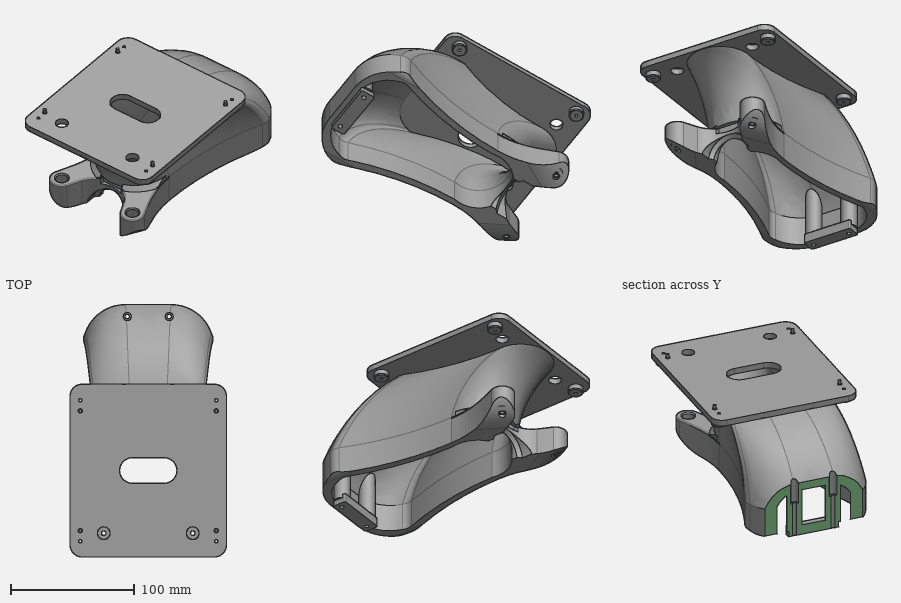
import cadquery as cq
import math


base_height = 25.0
plate_thickness = 5.1
plate_top = 82.7
plate_bottom = plate_top - plate_thickness

plate_width = 127
plate_length = 140.2
plate_corner_radius = 10.0
cable_slot_length = 46.3
cable_slot_width = 20.5
cable_slot_y = 70.2
access_hole_diameter = 10.5

fitting_x = 55.0
standoff_ys = (12.9, 127.1)
standoff_diameter = 12.0
standoff_height = 5.0
standoff_chamfer = 0.8
standoff_hole_diameter = 2.5
pin_ys = (21.5, 118.5)
pin_diameter = 2.5
pin_height = 3.5
pin_collar_diameter = 3.5
pin_collar_height = 0.5

hull_front = 38.0
hull_back = 204.7
back_flat_half = 18.5
back_corner_x = 51.0
back_corner_y = 182.0
corner_bulge_x = 52.5
corner_bulge_y = 177.7
side_start_x = 51.5
side_start_y = 172.5
side_middle_y = 118.7
waist_x = 32.0
waist_y = 73.7
side_run = side_start_y - waist_y
side_spread = side_start_x - waist_x
side_radius = (side_run ** 2 + side_spread ** 2) / (2 * side_spread)
side_middle_x = waist_x + side_radius - math.sqrt(side_radius ** 2 - (side_middle_y - waist_y) ** 2)
wall = 5.0

hull_front_middle = (29.9, 51.2)
hull_front_top = (0.6, plate_bottom)
hull_back_middle = (187.1, 51.2)
hull_back_top = (140.2, plate_bottom)
hull_steps = 4

leg_x = 36.0
leg_y = 19.5
leg_radius = 10.0
leg_outer_angle = 23
leg_tip_angle = -60
leg_inner_angle = 209
crotch_x = 21.5
crotch_y = 27.0
crotch_apex_y = 40.1
leg_edge_round = 1.0
leg_bore_diameter = 10.0
leg_bore_mouth = 12.0
leg_bore_floor = 8.2
leg_recess_diameter = 6.0
leg_recess_top = 5.1
screw_hole_diameter = 3.5
skirt_size = 4
skirt_gap = 22.1
skirt_reach = 69.5

leg_round_angle = -30
leg_round_start = 7.2
leg_round_radius = 28.7
corner_round_start = 46.7
corner_round_radius = 9.2

arch_outer_radius = 19.5
arch_inner_radius = 16.4
arch_axis_z = -2.7
arch_taper_start = 40.1
arch_taper_length = 3.0
notch_width = 20.9
notch_floor = 19.9
notch_top = 26.5
notch_back = 41.8

foot_width = 44.2
foot_front = 188.0
foot_back = 200.2
foot_drop = 5.0
foot_top = 4
foot_corner_radius = 1.5
foot_chamfer = 1.0
back_screw_x = 17.0
back_screw_y = 194.9
back_screw_bore_diameter = 6.5
back_screw_boss_diameter = 13.5
back_screw_seat = base_height


def cylinder(x, y, bottom, top, diameter):
    """Upright cylinder between two heights."""
    return cq.Workplane("XY", origin=(x, y, bottom)).circle(diameter / 2).extrude(top - bottom)


def arc_y(start, middle, end, z):
    """Y at height z on the arc through three (y, z) points that bulges toward +Y."""
    a, b = middle[0] - start[0], middle[1] - start[1]
    c, d = end[0] - start[0], end[1] - start[1]
    cross = 2 * (a * d - b * c)
    first, second = a * a + b * b, c * c + d * d
    center_y = (d * first - b * second) / cross
    center_z = (a * second - c * first) / cross
    radius = math.hypot(center_y, center_z)
    height = z - start[1] - center_z
    return start[0] + center_y + math.sqrt(radius ** 2 - height ** 2)


def mirrored(point):
    """Same point on the -X side."""
    return -point[0], point[1]


def back_arc_middle():
    """Point halfway along the rounded back that leaves the flat tangentially."""
    run = back_corner_x - back_flat_half
    drop = hull_back - back_corner_y
    radius = (run ** 2 + drop ** 2) / (2 * drop)
    half_angle = math.asin(run / radius) / 2
    x = back_flat_half + radius * math.sin(half_angle)
    y = hull_back - radius * (1 - math.cos(half_angle))
    return x, y


side_points = (
    (back_flat_half, hull_back),
    back_arc_middle(),
    (back_corner_x, back_corner_y),
    (corner_bulge_x, corner_bulge_y),
    (side_start_x, side_start_y),
    (side_middle_x, side_middle_y),
    (waist_x, waist_y),
)


def hull_section(z, inset=0.0):
    """Closed hull outline at height z, drawn inward by inset."""
    front = arc_y((hull_front, base_height), hull_front_middle, hull_front_top, z)
    back = arc_y((hull_back, base_height), hull_back_middle, hull_back_top, z)
    scale = (back - front) / (hull_back - hull_front)
    shrink_x = 1 - inset / (scale * waist_x)
    shrink_y = 1 - 2 * inset / (back - front)
    middle_y = (front + back) / 2

    def place(point):
        x, y = point
        y_full = front + (y - hull_front) * scale
        return x * scale * shrink_x, middle_y + (y_full - middle_y) * shrink_y

    back_end, back_middle, corner, bulge, side_start, side_middle, waist = map(place, side_points)
    return (
        cq.Workplane("XY", origin=(0, 0, z))
        .moveTo(*mirrored(back_end))
        .lineTo(*back_end)
        .threePointArc(back_middle, corner)
        .threePointArc(bulge, side_start)
        .threePointArc(side_middle, waist)
        .threePointArc(place((0, hull_front)), mirrored(waist))
        .threePointArc(mirrored(side_middle), mirrored(side_start))
        .threePointArc(mirrored(bulge), mirrored(corner))
        .threePointArc(mirrored(back_middle), mirrored(back_end))
        .close()
    )


def lofted_hull(inset=0.0):
    """Leaning hull from the top of the base to the plate."""
    step = (plate_bottom - base_height) / hull_steps
    wires = [hull_section(base_height + i * step, inset).val() for i in range(hull_steps + 1)]
    return cq.Workplane("XY").newObject([cq.Solid.makeLoft(wires)])


def leg_point(angle):
    """Point on the round end of the +X leg."""
    turn = math.radians(angle)
    return leg_x + leg_radius * math.cos(turn), leg_y + leg_radius * math.sin(turn)


def base_block():
    """Solid base: hull back and sides, flaring into two round-ended legs."""
    back_end, back_middle, corner, bulge, side_start, side_middle, waist = side_points
    outer = leg_point(leg_outer_angle)
    tip = leg_point(leg_tip_angle)
    inner = leg_point(leg_inner_angle)
    crotch = (crotch_x, crotch_y)
    turn = math.radians(leg_outer_angle)
    leg_direction = (math.sin(turn), -math.cos(turn))
    return_direction = (math.sin(turn), math.cos(turn))
    return (
        cq.Workplane("XY")
        .moveTo(*mirrored(back_end))
        .lineTo(*back_end)
        .threePointArc(back_middle, corner)
        .threePointArc(bulge, side_start)
        .threePointArc(side_middle, waist)
        .spline([outer], tangents=[(0, -1), leg_direction], includeCurrent=True)
        .threePointArc(tip, inner)
        .lineTo(*crotch)
        .threePointArc((0, crotch_apex_y), mirrored(crotch))
        .lineTo(*mirrored(inner))
        .threePointArc(mirrored(tip), mirrored(outer))
        .spline([mirrored(waist)], tangents=[return_direction, (0, 1)], includeCurrent=True)
        .threePointArc(mirrored(side_middle), mirrored(side_start))
        .threePointArc(mirrored(bulge), mirrored(corner))
        .threePointArc(mirrored(back_middle), mirrored(back_end))
        .close()
        .extrude(base_height)
    )


def underside_round(angle, start, radius):
    """Cutter that rounds the underside beyond a distance from the origin, in a given direction."""
    end = start + radius
    cutter = (
        cq.Workplane("XZ")
        .moveTo(start, 0)
        .radiusArc((end, radius), -radius)
        .lineTo(end + radius, radius)
        .lineTo(end + radius, 0)
        .close()
        .extrude(hull_back, both=True)
    )
    return cutter.rotate((0, 0, 0), (0, 0, 1), angle)


def both_sides(shape):
    """Shape joined with its mirror image across the middle of the part."""
    return shape.union(shape.mirror("YZ"))


def front_space(reach):
    """Block that covers everything in front of a given Y."""
    return cq.Workplane("XY").box(plate_width, 2 * reach, 4 * base_height)


block = base_block()
legs = block.intersect(front_space(waist_y))
legs = legs.faces(">Z").edges("not >Y").fillet(leg_edge_round)
base = block.cut(front_space(waist_y)).union(legs)
base = base.cut(both_sides(underside_round(leg_round_angle, leg_round_start, leg_round_radius)))
base = base.cut(both_sides(underside_round(0, corner_round_start, corner_round_radius)))

skirt = hull_section(base_height).offset2D(skirt_size).extrude(skirt_size, taper=45)
leg_area = block.translate((0, 0, base_height)).intersect(front_space(skirt_reach))
skirt = skirt.intersect(leg_area)
skirt = skirt.cut(cq.Workplane("XY").box(skirt_gap, 2 * hull_back, 4 * base_height))

outer_body = base.union(lofted_hull()).union(skirt)
cavity = hull_section(base_height, wall).extrude(-base_height).union(lofted_hull(wall))
boss = cylinder(back_screw_x, back_screw_y, 0, plate_bottom, back_screw_boss_diameter)
bosses = both_sides(boss).intersect(outer_body)
body = outer_body.cut(cavity).union(bosses)

arch_plane = cq.Workplane("XZ", origin=(0, 0, arch_axis_z))
arch = arch_plane.circle(arch_outer_radius).extrude(-arch_taper_start)
arch_taper = (
    arch_plane.workplane(offset=-arch_taper_start)
    .circle(arch_outer_radius)
    .workplane(offset=-arch_taper_length)
    .circle(arch_inner_radius)
    .loft()
)
arch_throat = arch_plane.circle(arch_inner_radius).extrude(-waist_y)
body = body.cut(arch).cut(arch_taper).cut(arch_throat)

notch = cq.Workplane("XY", origin=(0, 0, notch_floor)).rect(notch_width, 2 * notch_back)
body = body.cut(notch.extrude(notch_top - notch_floor))

foot = (
    cq.Workplane("XY", origin=(0, (foot_front + foot_back) / 2, -foot_drop))
    .rect(foot_width, foot_back - foot_front)
    .extrude(foot_drop + foot_top)
    .edges("|Z")
    .fillet(foot_corner_radius)
    .faces(">Z")
    .edges("<Y")
    .chamfer(foot_chamfer)
)
body = body.union(foot)

mouth_depth = (leg_bore_mouth - leg_bore_diameter) / 2
for side in (-1, 1):
    x = side * leg_x
    mouth = (
        cq.Workplane("XY", origin=(x, leg_y, base_height))
        .circle(leg_bore_mouth / 2)
        .workplane(offset=-mouth_depth)
        .circle(leg_bore_diameter / 2)
        .loft()
    )
    body = body.cut(mouth)
    body = body.cut(cylinder(x, leg_y, leg_bore_floor, base_height, leg_bore_diameter))
    body = body.cut(cylinder(x, leg_y, 0, leg_bore_floor, screw_hole_diameter))
    body = body.cut(cylinder(x, leg_y, 0, leg_recess_top, leg_recess_diameter))
    x = side * back_screw_x
    body = body.cut(cylinder(x, back_screw_y, back_screw_seat, plate_bottom, back_screw_bore_diameter))
    body = body.cut(cylinder(x, back_screw_y, -foot_drop, back_screw_seat, screw_hole_diameter))

plate = (
    cq.Workplane("XY", origin=(0, plate_length / 2, plate_bottom))
    .rect(plate_width, plate_length)
    .extrude(plate_thickness)
    .edges("|Z")
    .fillet(plate_corner_radius)
)
for side in (-1, 1):
    x = side * fitting_x
    plate = plate.cut(cylinder(side * leg_x, leg_y, plate_bottom, plate_top, access_hole_diameter))
    for y in standoff_ys:
        standoff = cylinder(x, y, plate_bottom - standoff_height, plate_bottom, standoff_diameter)
        plate = plate.union(standoff.faces("<Z").chamfer(standoff_chamfer))
        plate = plate.cut(cylinder(x, y, 0, plate_top, standoff_hole_diameter))
    for y in pin_ys:
        plate = plate.union(cylinder(x, y, plate_top, plate_top + pin_height, pin_diameter))
        plate = plate.union(cylinder(x, y, plate_top, plate_top + pin_collar_height, pin_collar_diameter))

cable_slot = (
    cq.Workplane("XY", origin=(0, cable_slot_y, plate_bottom))
    .slot2D(cable_slot_length, cable_slot_width)
    .extrude(plate_thickness)
)
result = body.union(plate.cut(cable_slot))